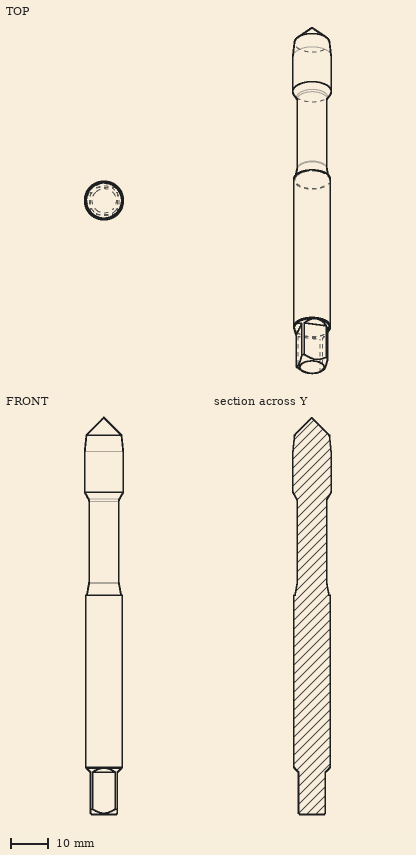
import cadquery as cq
import math

head_diameter = 10.18
lead_diameter = 9.29
neck_diameter = 7.88
shank_diameter = 9.68
shoulder_diameter = 9.05
drive_diameter = 9.29

total_length = 104.53
tip_length = lead_diameter / 2
body_length = total_length - tip_length
lead_length = 4.3
head_bottom_z = 84.8
neck_bottom_z = 61.0
shank_top_z = 57.8
shank_bottom_z = 12.4

head_taper_angle = 30.0
neck_fillet_radius = 1.2
neck_bottom_fillet_radius = 1.5

square_width = 7.1
square_length = 11.1
end_chamfer = 1.45
ramp_angle = 45.0
flat_count = 4


def turned_body():
    """Revolved blank: drive end, shank, neck, head, tapered lead and pointed tip."""
    head_radius = head_diameter / 2
    neck_radius = neck_diameter / 2
    drive_radius = drive_diameter / 2
    shank_radius = shank_diameter / 2
    taper_length = (head_radius - neck_radius) / math.tan(math.radians(head_taper_angle))
    neck_top_z = head_bottom_z - taper_length
    outline = [
        (0, 0),
        (drive_radius - end_chamfer, 0),
        (drive_radius, end_chamfer),
        (drive_radius, shank_bottom_z - (shank_radius - drive_radius)),
        (shank_radius, shank_bottom_z),
        (shank_radius, shank_top_z),
        (shoulder_diameter / 2, shank_top_z),
        (neck_radius, neck_bottom_z),
        (neck_radius, neck_top_z),
        (head_radius, head_bottom_z),
        (head_radius, body_length - lead_length),
        (lead_diameter / 2, body_length),
        (0, body_length + tip_length),
    ]
    body = cq.Workplane("XZ").polyline(outline).close().revolve(360, (0, 0, 0), (0, 1, 0))
    body = fillet_ring(body, neck_top_z, neck_fillet_radius)
    return fillet_ring(body, neck_bottom_z, neck_bottom_fillet_radius)


def fillet_ring(body, height, radius):
    """Round the circular edge between a taper and the neck at the given height."""
    reach = neck_diameter
    half_band = 0.01
    lower = (-reach, -reach, height - half_band)
    upper = (reach, reach, height + half_band)
    return body.edges(cq.selectors.BoxSelector(lower, upper, boundingbox=True)).fillet(radius)


def flat_cutter():
    """Material removed beside one flat on the +X side, with a sloped run-out at its top."""
    inner_x = square_width / 2
    outer_x = shank_diameter
    ramp_rise = (outer_x - inner_x) / math.tan(math.radians(ramp_angle))
    profile = [
        (inner_x, 0),
        (outer_x, 0),
        (outer_x, square_length + ramp_rise),
        (inner_x, square_length),
    ]
    return cq.Workplane("XZ").polyline(profile).close().extrude(shank_diameter, both=True)


result = turned_body()
for index in range(flat_count):
    angle = index * 360 / flat_count
    result = result.cut(flat_cutter().rotate((0, 0, 0), (0, 0, 1), angle))